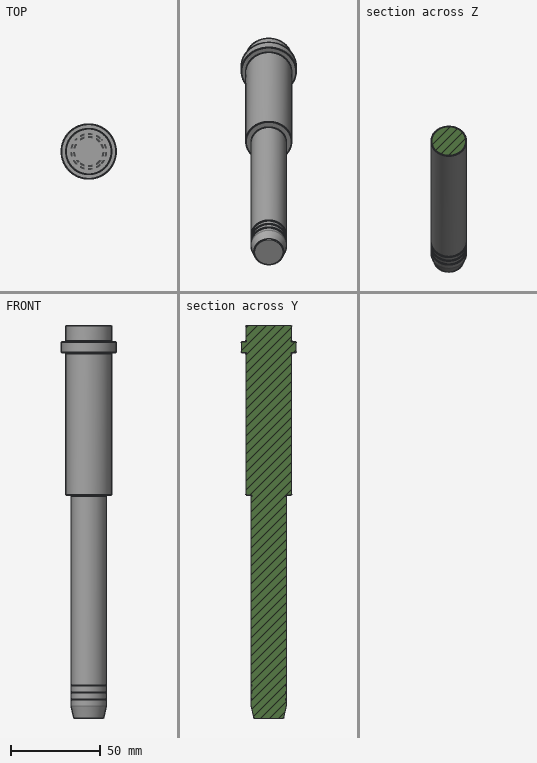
import cadquery as cq

length = 220.0

flange_diameter = 31.0
body_diameter = 26.0
shaft_diameter = 20.0
tip_diameter = 16.7
groove_depth = 0.5
body_relief_depth = 0.5
shaft_relief_depth = 0.5

head_height = 9.0
flange_thickness = 6.4
body_length = 95.0
taper_height = 7.0
groove_width = 0.7
groove_pitch = 4.0
groove_count = 3
relief_width = 0.7

edge_chamfer = 0.5

flange_top = length - head_height
flange_bottom = flange_top - flange_thickness
body_bottom = length - body_length


def cylinder(diameter, bottom, top):
    return cq.Workplane("XY").workplane(offset=bottom).circle(diameter / 2).extrude(top - bottom)


def groove_cutter(diameter, depth, bottom, width):
    """Ring that cuts a square groove into a cylinder of the given diameter."""
    core = cylinder(diameter - 2 * depth, bottom, bottom + width)
    return cylinder(diameter, bottom, bottom + width).cut(core)


def make_tip():
    """Tapered lead-in at the lower end, with a bevelled bottom edge."""
    profile = (
        cq.Workplane("XZ")
        .lineTo(tip_diameter / 2, 0)
        .lineTo(shaft_diameter / 2, taper_height)
        .lineTo(0, taper_height)
        .close()
    )
    tip = profile.revolve(360, (0, 0, 0), (0, 1, 0))
    return tip.faces("<Z").edges().chamfer(edge_chamfer)


shaft = cylinder(shaft_diameter, taper_height, body_bottom)
body = cylinder(body_diameter, body_bottom, length)
body = body.edges().chamfer(edge_chamfer)
flange = cylinder(flange_diameter, flange_bottom, flange_top)
flange = flange.edges().chamfer(edge_chamfer)
result = make_tip().union(shaft).union(body).union(flange)

for index in range(groove_count):
    groove_top = taper_height + (index + 1) * groove_pitch
    groove_bottom = groove_top - groove_width
    result = result.cut(groove_cutter(shaft_diameter, groove_depth, groove_bottom, groove_width))

for relief_bottom in (flange_top, flange_bottom - relief_width):
    result = result.cut(groove_cutter(body_diameter, body_relief_depth, relief_bottom, relief_width))

shaft_relief_bottom = body_bottom - relief_width
result = result.cut(groove_cutter(shaft_diameter, shaft_relief_depth, shaft_relief_bottom, relief_width))